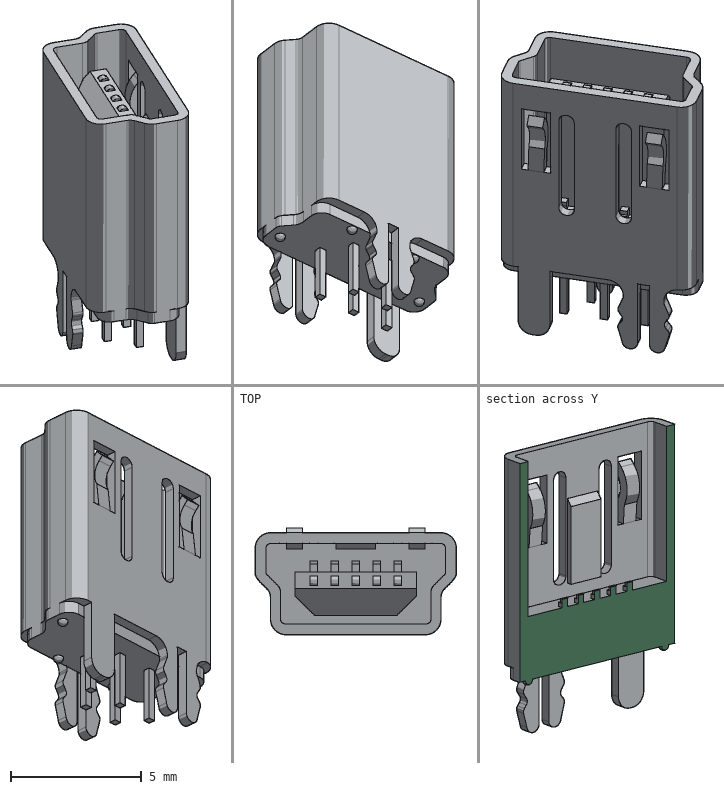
import cadquery as cq
import math

TOTAL_HEIGHT = 11.3
WIDTH = 7.7
SHEET = 0.42

CORNER_REACH = 0.06

SHELL_BOTTOM = 3.0
BACK_Y = 1.86
FRONT_Y = -2.05
HALF_WIDTH = WIDTH / 2
SHOULDER_STEP = 0.59
SHOULDER_Y = 0.16
CORNER_RADIUS = 0.61
SHOULDER_OUTER_RADIUS = 0.61
SHOULDER_INNER_RADIUS = 0.37
INNER_BACK_Y = BACK_Y - SHEET
INNER_FRONT_Y = FRONT_Y + SHEET

CAVITY_SHOULDER_STEP = 0.55
CAVITY_SHOULDER_Y = 0.29
CAVITY_CORNER_RADIUS = 0.19
CAVITY_SHOULDER_OUTER_RADIUS = 0.11
CAVITY_SHOULDER_INNER_RADIUS = 0.34

HOUSING_BOTTOM = 2.51
HOUSING_CORNER_RADIUS = 0.51
HOUSING_SHOULDER_Y = 0.19
HOUSING_SHOULDER_OUTER_RADIUS = 0.32
HOUSING_SHOULDER_INNER_RADIUS = 0.55
FLOOR_Z = 5.08

TONGUE_TOP = 10.34
TONGUE_HALF_WIDTH = 2.32
TONGUE_FRONT_HALF_WIDTH = 1.57
TONGUE_BACK_Y = 0.36
TONGUE_SIDE_END_Y = -0.56
TONGUE_FRONT_Y = -1.3
TONGUE_BEVEL_START_Y = -0.28
TONGUE_BEVEL_DROP = 1.02

CONTACT_PITCH = 0.8
CONTACT_WIDTH = 0.29
CONTACT_TIP_Y = 0.02
CONTACT_TIP_LENGTH = 0.36
CONTACT_TIP_RISE = 0.09
CONTACT_STRIP_BACK_Y = 0.65
CONTACT_ROOT_BACK_Y = 0.77
CONTACT_STRIP_HEIGHT = 0.34
CONTACT_ROOT_HEIGHT = 0.17
PIN_DEPTH = 0.28
PIN_BOTTOM = 0.29
BACK_PIN_Y = 0.42
FRONT_PIN_Y = -0.61

LEG_GAP_HALF = 0.24
LEG_NECK = 0.8
LEG_NOTCH = 0.78
LEG_BARB = 1.04
LEG_TOE = 0.85
TOE_HEIGHT = 0.27
LOWER_BARB_Z = 0.97
NOTCH_Z = 1.3
UPPER_BARB_Z = 1.71
NECK_Z = 2.29
BARB_RADIUS = 0.21
NECK_RADIUS = 0.14
LEG_ROOT_RADIUS = 0.61
BACK_LEG_PAIR_X = -1.91
PLAIN_LEG_X = 2.42
PLAIN_LEG_WIDTH = 1.25
PLAIN_LEG_RADIUS = 0.56

FOOT_RADIUS = 0.2
FOOT_POSITIONS = [(3.38, 0.65), (1.5, -1.4)]

OPENING_TOP = 10.19
WINDOW_X = 2.34
WINDOW_WIDTH = 1.15
WINDOW_BOTTOM = 7.46
SPRING_WIDTH = 0.62
SPRING_TIP_Y = 2.05
SPRING_TIP_Z = 9.58
SPRING_LEAN_ANGLE = 45.0
SPRING_LEAN_LENGTH = 0.24
SPRING_FOOT_ANGLE = 30.0
SPRING_BEND_RADIUS = 1.22
SLOT_X = 1.13
SLOT_WIDTH = 0.61
SLOT_BOTTOM = 5.65
CENTRE_TAB_WIDTH = 1.49
CENTRE_TAB_REACH = 0.21
CENTRE_TAB_TOP = 9.04
CENTRE_TAB_BEVEL = 0.27


def box(x, y, z):
    """Box spanning the given (low, high) pair on each axis."""
    size = [high - low for low, high in (x, y, z)]
    return cq.Workplane("XY").box(*size, centered=False).translate((x[0], y[0], z[0]))


def centred(middle, width):
    return (middle - width / 2, middle + width / 2)


def rounded(solid, axis, centre, reach, radius):
    """Fillet the edges that run along the axis inside the box around the centre."""
    low = [place - span for place, span in zip(centre, reach)]
    high = [place + span for place, span in zip(centre, reach)]
    return solid.edges("|" + axis).edges(cq.selectors.BoxSelector(low, high)).fillet(radius)


def socket_prism(y_range, z_range, half_width, step, shoulder_y, corner, shoulder_radii):
    """Symmetric prism, narrower at the front, with 45 degree shoulders and rounded corners."""
    front, back = y_range
    bottom, top = z_range
    narrow = half_width - step
    front_corner = (narrow, front)
    inner_shoulder = (narrow, shoulder_y - step)
    outer_shoulder = (half_width, shoulder_y)
    back_corner = (half_width, back)
    right = [front_corner, inner_shoulder, outer_shoulder, back_corner]
    left = [(-x, y) for x, y in reversed(right)]
    prism = cq.Workplane("XY").workplane(offset=bottom).polyline(right + left).close()
    prism = prism.extrude(top - bottom)

    outer_radius, inner_radius = shoulder_radii
    fillets = [
        (front_corner, corner),
        (inner_shoulder, inner_radius),
        (outer_shoulder, outer_radius),
        (back_corner, corner),
    ]
    reach = (CORNER_REACH, CORNER_REACH, top - bottom)
    for (x, y), radius in fillets:
        for side in (-1, 1):
            prism = rounded(prism, "Z", (side * x, y, (bottom + top) / 2), reach, radius)
    return prism


def shell():
    """Metal shell, filled with housing material up to the socket floor."""
    outside = socket_prism(
        (FRONT_Y, BACK_Y),
        (SHELL_BOTTOM, TOTAL_HEIGHT),
        HALF_WIDTH,
        SHOULDER_STEP,
        SHOULDER_Y,
        CORNER_RADIUS,
        (SHOULDER_OUTER_RADIUS, SHOULDER_INNER_RADIUS),
    )
    cavity = socket_prism(
        (INNER_FRONT_Y, INNER_BACK_Y),
        (FLOOR_Z, TOTAL_HEIGHT),
        HALF_WIDTH - SHEET,
        CAVITY_SHOULDER_STEP,
        CAVITY_SHOULDER_Y,
        CAVITY_CORNER_RADIUS,
        (CAVITY_SHOULDER_OUTER_RADIUS, CAVITY_SHOULDER_INNER_RADIUS),
    )
    return outside.cut(cavity)


def housing_base():
    """Part of the housing that shows below the shell, between the leg sheets."""
    return socket_prism(
        (INNER_FRONT_Y, INNER_BACK_Y),
        (HOUSING_BOTTOM, SHELL_BOTTOM),
        HALF_WIDTH,
        SHOULDER_STEP,
        HOUSING_SHOULDER_Y,
        HOUSING_CORNER_RADIUS,
        (HOUSING_SHOULDER_OUTER_RADIUS, HOUSING_SHOULDER_INNER_RADIUS),
    )


def tongue():
    outline = [
        (-TONGUE_HALF_WIDTH, TONGUE_BACK_Y),
        (-TONGUE_HALF_WIDTH, TONGUE_SIDE_END_Y),
        (-TONGUE_FRONT_HALF_WIDTH, TONGUE_FRONT_Y),
        (TONGUE_FRONT_HALF_WIDTH, TONGUE_FRONT_Y),
        (TONGUE_HALF_WIDTH, TONGUE_SIDE_END_Y),
        (TONGUE_HALF_WIDTH, TONGUE_BACK_Y),
    ]
    blade = cq.Workplane("XY").workplane(offset=FLOOR_Z).polyline(outline).close()
    blade = blade.extrude(TONGUE_TOP - FLOOR_Z)
    bevel = (
        cq.Workplane("YZ")
        .moveTo(TONGUE_BEVEL_START_Y, TONGUE_TOP)
        .lineTo(TONGUE_FRONT_Y, TONGUE_TOP - TONGUE_BEVEL_DROP)
        .lineTo(TONGUE_FRONT_Y, TONGUE_TOP)
        .close()
        .extrude(TONGUE_HALF_WIDTH, both=True)
    )
    return blade.cut(bevel)


def contact(x):
    """Rounded tip on the tongue and a stepped strip behind it on the socket floor."""
    across = centred(x, CONTACT_WIDTH)
    tip = (
        cq.Workplane("YZ", origin=(x, CONTACT_TIP_Y, TONGUE_TOP))
        .moveTo(-CONTACT_TIP_LENGTH / 2, 0)
        .threePointArc((0, CONTACT_TIP_RISE), (CONTACT_TIP_LENGTH / 2, 0))
        .close()
        .extrude(CONTACT_WIDTH / 2, both=True)
    )
    strip = box(across, (TONGUE_BACK_Y, CONTACT_STRIP_BACK_Y), (FLOOR_Z, FLOOR_Z + CONTACT_STRIP_HEIGHT))
    root = box(across, (TONGUE_BACK_Y, CONTACT_ROOT_BACK_Y), (FLOOR_Z, FLOOR_Z + CONTACT_ROOT_HEIGHT))
    return tip.union(strip).union(root)


def solder_pin(x, y):
    return box(centred(x, CONTACT_WIDTH), centred(y, PIN_DEPTH), (PIN_BOTTOM, HOUSING_BOTTOM))


def foot(x, y):
    """Ball sunk to its middle in the underside of the housing."""
    return cq.Workplane("XY", origin=(x, y, HOUSING_BOTTOM)).sphere(FOOT_RADIUS)


def barbed_leg():
    """Right-hand leg of a pair, in the sheet lying from Y = 0 to Y = SHEET."""
    root_end = LEG_NECK + LEG_ROOT_RADIUS
    root_start_z = SHELL_BOTTOM - LEG_ROOT_RADIUS
    root_sag = LEG_ROOT_RADIUS * (1 - math.sqrt(0.5))
    leg = (
        cq.Workplane("XZ")
        .moveTo(LEG_GAP_HALF, SHELL_BOTTOM)
        .lineTo(LEG_GAP_HALF, TOE_HEIGHT)
        .threePointArc(((LEG_GAP_HALF + LEG_TOE) / 2, 0), (LEG_TOE, TOE_HEIGHT))
        .lineTo(LEG_BARB, LOWER_BARB_Z)
        .lineTo(LEG_NOTCH, NOTCH_Z)
        .lineTo(LEG_BARB, UPPER_BARB_Z)
        .lineTo(LEG_NECK, NECK_Z)
        .lineTo(LEG_NECK, root_start_z)
        .threePointArc((LEG_NECK + root_sag, SHELL_BOTTOM - root_sag), (root_end, SHELL_BOTTOM))
        .close()
        .extrude(-SHEET)
    )

    bends = [
        (LEG_BARB, LOWER_BARB_Z, BARB_RADIUS),
        (LEG_NOTCH, NOTCH_Z, BARB_RADIUS),
        (LEG_BARB, UPPER_BARB_Z, BARB_RADIUS),
        (LEG_NECK, NECK_Z, NECK_RADIUS),
    ]
    reach = (CORNER_REACH, 2 * SHEET, CORNER_REACH)
    for x, z, radius in bends:
        leg = rounded(leg, "Y", (x, 0, z), reach, radius)
    return leg


def leg_pair(x, y):
    leg = barbed_leg()
    return leg.union(leg.mirror("YZ")).translate((x, y, 0))


def plain_leg():
    leg = box(centred(PLAIN_LEG_X, PLAIN_LEG_WIDTH), (INNER_BACK_Y, BACK_Y), (0, SHELL_BOTTOM))
    return leg.edges("|Y and <Z").fillet(PLAIN_LEG_RADIUS)


def window(x):
    return box(centred(x, WINDOW_WIDTH), (INNER_BACK_Y, BACK_Y), (WINDOW_BOTTOM, OPENING_TOP))


def slot(x):
    """Opening with round ends through the back wall."""
    middle = (SLOT_BOTTOM + OPENING_TOP) / 2
    length = OPENING_TOP - SLOT_BOTTOM
    wall = cq.Workplane("XZ", origin=(x, BACK_Y, middle))
    return wall.slot2D(length, SLOT_WIDTH, angle=90).extrude(SHEET)


def latch_spring(x):
    """Bent strip that bulges into the socket and leans out again through its window."""
    lean = math.radians(SPRING_LEAN_ANGLE)
    cos_lean = math.cos(lean)
    sin_lean = math.sin(lean)
    tip_y = SPRING_TIP_Y - SHEET * cos_lean
    tip_z = SPRING_TIP_Z + SHEET * sin_lean
    socket_side = SPRING_BEND_RADIUS
    wall_side = SPRING_BEND_RADIUS - SHEET
    centre_y = tip_y - SPRING_LEAN_LENGTH * sin_lean + socket_side * cos_lean
    centre_z = tip_z - SPRING_LEAN_LENGTH * cos_lean - socket_side * sin_lean

    def on_bend(radius, degrees):
        angle = math.radians(degrees)
        return (centre_y - radius * math.cos(angle), centre_z + radius * math.sin(angle))

    profile = (
        cq.Workplane("YZ", origin=(x, 0, 0))
        .moveTo(SPRING_TIP_Y, SPRING_TIP_Z)
        .lineTo(tip_y, tip_z)
        .lineTo(*on_bend(socket_side, SPRING_LEAN_ANGLE))
        .threePointArc(on_bend(socket_side, 0), on_bend(socket_side, -SPRING_FOOT_ANGLE))
        .lineTo(INNER_BACK_Y, WINDOW_BOTTOM)
        .lineTo(BACK_Y, WINDOW_BOTTOM)
        .lineTo(*on_bend(wall_side, -SPRING_FOOT_ANGLE))
        .threePointArc(on_bend(wall_side, 0), on_bend(wall_side, SPRING_LEAN_ANGLE))
        .close()
    )
    return profile.extrude(SPRING_WIDTH / 2, both=True)


def centre_tab():
    """Tab between the slots, standing into the socket with a bevelled top."""
    tab_y = INNER_BACK_Y - CENTRE_TAB_REACH
    profile = (
        cq.Workplane("YZ")
        .moveTo(INNER_BACK_Y, CENTRE_TAB_TOP)
        .lineTo(tab_y, CENTRE_TAB_TOP - CENTRE_TAB_BEVEL)
        .lineTo(tab_y, SLOT_BOTTOM)
        .lineTo(INNER_BACK_Y, SLOT_BOTTOM)
        .close()
    )
    return profile.extrude(CENTRE_TAB_WIDTH / 2, both=True)


result = shell()
for side in (-1, 1):
    result = result.cut(window(side * WINDOW_X)).cut(slot(side * SLOT_X))
    result = result.union(latch_spring(side * WINDOW_X))
result = result.union(centre_tab())
result = result.union(housing_base()).union(tongue())

for position in range(-2, 3):
    x = position * CONTACT_PITCH
    pin_y = BACK_PIN_Y if position % 2 == 0 else FRONT_PIN_Y
    result = result.union(contact(x)).union(solder_pin(x, pin_y))

result = result.union(leg_pair(0, FRONT_Y)).union(leg_pair(BACK_LEG_PAIR_X, INNER_BACK_Y))
result = result.union(plain_leg())
for foot_x, foot_y in FOOT_POSITIONS:
    result = result.union(foot(foot_x, foot_y)).union(foot(-foot_x, foot_y))